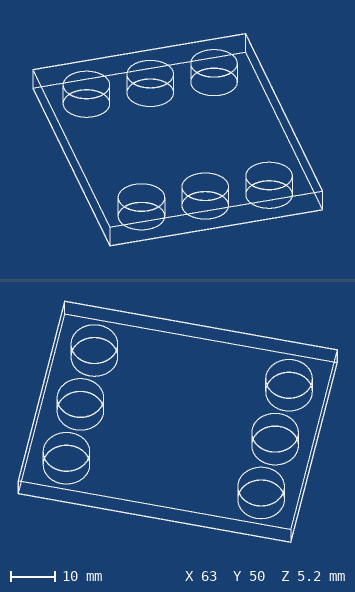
import cadquery as cq

length = 63.0
width = 50.0
thickness = 5.2

hole_diameter = 10.5
column_count = 2
row_count = 3
column_spacing = 45.0
row_spacing = 15.0

plate = cq.Workplane("XY").box(length, width, thickness)

result = (
    plate.faces(">Z")
    .workplane()
    .rarray(column_spacing, row_spacing, column_count, row_count)
    .hole(hole_diameter)
)